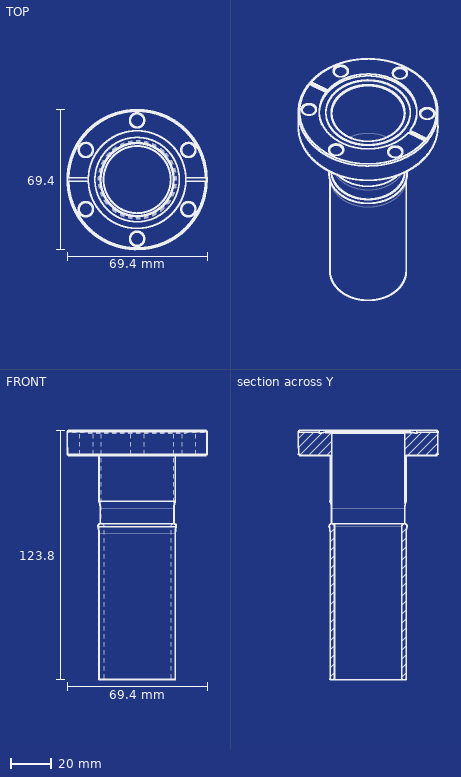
import cadquery as cq
import math

total_height = 123.8
flange_thickness = 12.6
flange_bottom = total_height - flange_thickness

flange_radius = 34.7
flange_chamfer = 0.7
bolt_count = 6
bolt_circle_radius = 29.3
bolt_hole_diameter = 6.7
bolt_hole_chamfer = 0.4

recess_diameter = 48.4
recess_radius = recess_diameter / 2
recess_depth = 1.5
knife_radius = 20.9
knife_depth = 0.7
inner_face_depth = 1.2
leak_groove_width = 1.6
leak_groove_depth = 1.0

tube_diameter = 38.0
tube_radius = tube_diameter / 2

neck_radius = 18.3
sleeve_bore_radius = 18.0
bore_chamfer = 0.4
shoulder_height = 88.7
neck_top = 85.2

glass_bore_radius = 16.6
foot_chamfer = 0.4
flare_bottom = 72.8
flare_radius = 19.3
bead_radius = 19.5
bead_bottom = 75.9
bead_crest = 76.3
bead_top = 77.5


def turned_body():
    """Flange, sleeve and glass tube revolved as one profile of (radius, height)."""
    inner_face = total_height - inner_face_depth
    glass_lip = sleeve_bore_radius - glass_bore_radius
    lip_corner = glass_lip * (1 - math.sqrt(0.5))
    profile = (
        cq.Workplane("XZ")
        .moveTo(glass_bore_radius, 0)
        .lineTo(tube_radius - foot_chamfer, 0)
        .lineTo(tube_radius, foot_chamfer)
        .lineTo(tube_radius, flare_bottom)
        .tangentArcPoint((flare_radius, bead_bottom), relative=False)
        .lineTo(bead_radius, bead_bottom)
        .lineTo(bead_radius, bead_crest)
        .tangentArcPoint((neck_radius, bead_top), relative=False)
        .lineTo(neck_radius, neck_top)
        .tangentArcPoint((tube_radius, shoulder_height), relative=False)
        .lineTo(tube_radius, flange_bottom)
        .lineTo(flange_radius - flange_chamfer, flange_bottom)
        .lineTo(flange_radius, flange_bottom + flange_chamfer)
        .lineTo(flange_radius, total_height - flange_chamfer)
        .lineTo(flange_radius - flange_chamfer, total_height)
        .lineTo(recess_radius, total_height)
        .lineTo(recess_radius, total_height - recess_depth)
        .lineTo(knife_radius, total_height - knife_depth)
        .lineTo(knife_radius, inner_face)
        .lineTo(sleeve_bore_radius + bore_chamfer, inner_face)
        .lineTo(sleeve_bore_radius, inner_face - bore_chamfer)
        .lineTo(sleeve_bore_radius, bead_top)
        .threePointArc(
            (glass_bore_radius + lip_corner, bead_top - lip_corner),
            (glass_bore_radius, bead_top - glass_lip),
        )
        .close()
    )
    return profile.revolve(360, (0, 0, 0), (0, 1, 0))


def bolt_holes():
    """Through holes on the bolt circle, chamfered at both flange faces."""
    radius = bolt_hole_diameter / 2
    rim_radius = radius + bolt_hole_chamfer
    hole = (
        cq.Workplane("XZ")
        .moveTo(0, flange_bottom)
        .lineTo(rim_radius, flange_bottom)
        .lineTo(radius, flange_bottom + bolt_hole_chamfer)
        .lineTo(radius, total_height - bolt_hole_chamfer)
        .lineTo(rim_radius, total_height)
        .lineTo(0, total_height)
        .close()
        .revolve(360, (0, 0, 0), (0, 1, 0))
        .translate((0, bolt_circle_radius, 0))
    )
    holes = cq.Workplane("XY")
    for index in range(bolt_count):
        holes = holes.add(hole.rotate((0, 0, 0), (0, 0, 1), index * 360 / bolt_count))
    return holes.combine()


def leak_grooves():
    """Two shallow radial grooves along X, from the recess out through the rim."""
    bar = cq.Workplane("XY").box(
        2 * flange_radius, leak_groove_width, leak_groove_depth, centered=(True, True, False)
    )
    core = cq.Workplane("XY").circle(recess_radius).extrude(leak_groove_depth)
    return bar.cut(core).translate((0, 0, total_height - leak_groove_depth))


result = turned_body().cut(bolt_holes()).cut(leak_grooves())